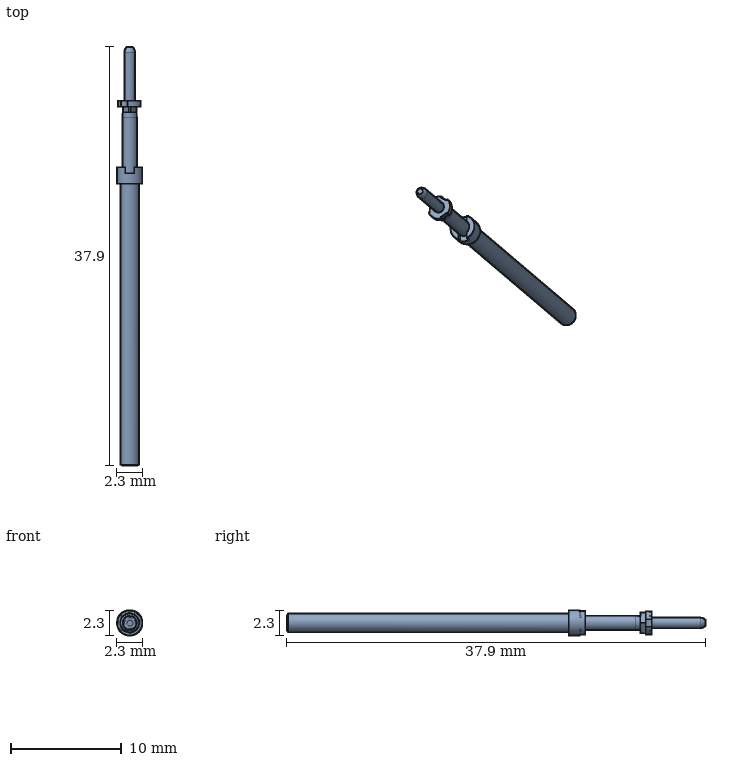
import cadquery as cq
import math

LENGTH = 37.9
TIP_Y = LENGTH / 2
TAIL_Y = -LENGTH / 2

PIN_RADIUS = 1.0 / 2
FLANGE_RADIUS = 2.12 / 2
NECK_RADIUS = 1.33 / 2
NECK_END_RADIUS = 1.3 / 2
COLLAR_RADIUS = 2.3 / 2
BODY_RADIUS = 1.7 / 2

PIN_LENGTH = 4.85
COLLAR_DISTANCE = 10.88
FLANGE_THICKNESS = 0.55
KEY_THICKNESS = 0.5
NECK_TAPER_LENGTH = 0.45
COLLAR_THICKNESS = 1.5
FLANGE_TOP_Y = TIP_Y - PIN_LENGTH
KEY_TOP_Y = FLANGE_TOP_Y - FLANGE_THICKNESS
TAPER_TOP_Y = KEY_TOP_Y - KEY_THICKNESS
NECK_TOP_Y = TAPER_TOP_Y - NECK_TAPER_LENGTH
COLLAR_TOP_Y = TIP_Y - COLLAR_DISTANCE
BODY_TOP_Y = COLLAR_TOP_Y - COLLAR_THICKNESS

NOSE_LENGTH = 0.5
NOSE_FLAT_RADIUS = 0.25
TAIL_CHAMFER_LENGTH = 0.1
TAIL_CHAMFER_DEPTH = 0.23

KEY_HALF_WIDTH = 1.25 / 2
KEY_FACE_ANGLE = 30.0
KEY_TRIM_RADIUS = 1.9 / 2
NOTCH_COUNT = 3
NOTCH_WIDTH = 0.7
NOTCH_FLOOR_DISTANCE = 0.9

SLOT_WIDTH = 0.85
SLOT_LENGTH = 0.53


def round_step(radius, low_y, high_y):
    """Cylinder on the Y axis between two stations."""
    return cq.Workplane("XZ", origin=(0, high_y, 0)).circle(radius).extrude(high_y - low_y)


def turned(outline):
    """Solid of revolution about the Y axis from a half outline of (radius, y) corners."""
    return cq.Workplane("XY").polyline(outline).close().revolve(360, (0, 0), (0, 1))


def contact_pin():
    """Pin with a rounded nose that ends in a small flat."""
    outline = (
        cq.Workplane("XY")
        .moveTo(0, FLANGE_TOP_Y)
        .lineTo(PIN_RADIUS, FLANGE_TOP_Y)
        .lineTo(PIN_RADIUS, TIP_Y - NOSE_LENGTH)
        .tangentArcPoint((NOSE_FLAT_RADIUS, TIP_Y), relative=False)
        .lineTo(0, TIP_Y)
        .close()
    )
    return outline.revolve(360, (0, 0), (0, 1))


def flange():
    """Disc with equally spaced notches in its rim, the first one facing +X."""
    disc = round_step(FLANGE_RADIUS, KEY_TOP_Y, FLANGE_TOP_Y)
    notch = (
        cq.Workplane("XY")
        .box(FLANGE_RADIUS, FLANGE_THICKNESS, NOTCH_WIDTH, centered=(False, False, True))
        .translate((NOTCH_FLOOR_DISTANCE, KEY_TOP_Y, 0))
    )
    for index in range(NOTCH_COUNT):
        disc = disc.cut(notch.rotate((0, 0, 0), (0, 1, 0), index * 360 / NOTCH_COUNT))
    return disc


def key():
    """Rhombic key under the flange, its long corners trimmed to a circle."""
    half_height = KEY_HALF_WIDTH / math.tan(math.radians(KEY_FACE_ANGLE))
    corners = [(KEY_HALF_WIDTH, 0), (0, half_height), (-KEY_HALF_WIDTH, 0), (0, -half_height)]
    profile = cq.Workplane("XZ", origin=(0, KEY_TOP_Y, 0)).polyline(corners).close()
    rhombus = profile.extrude(KEY_THICKNESS)
    return rhombus.intersect(round_step(KEY_TRIM_RADIUS, TAPER_TOP_Y, KEY_TOP_Y))


def neck():
    """Neck that narrows slightly just before the key."""
    outline = [
        (0, COLLAR_TOP_Y),
        (NECK_RADIUS, COLLAR_TOP_Y),
        (NECK_RADIUS, NECK_TOP_Y),
        (NECK_END_RADIUS, TAPER_TOP_Y),
        (0, TAPER_TOP_Y),
    ]
    return turned(outline)


def collar():
    """Collar with a slot above and below, open to the neck end and as deep as the neck surface."""
    ring = round_step(COLLAR_RADIUS, BODY_TOP_Y, COLLAR_TOP_Y)
    slot_bottom_y = COLLAR_TOP_Y - SLOT_LENGTH
    slots = (
        cq.Workplane("XZ", origin=(0, COLLAR_TOP_Y, 0))
        .rect(SLOT_WIDTH, 2 * COLLAR_RADIUS)
        .extrude(SLOT_LENGTH)
        .cut(round_step(NECK_RADIUS, slot_bottom_y, COLLAR_TOP_Y))
    )
    return ring.cut(slots)


def body():
    """Long barrel with a chamfered tail end."""
    outline = [
        (0, BODY_TOP_Y),
        (BODY_RADIUS, BODY_TOP_Y),
        (BODY_RADIUS, TAIL_Y + TAIL_CHAMFER_LENGTH),
        (BODY_RADIUS - TAIL_CHAMFER_DEPTH, TAIL_Y),
        (0, TAIL_Y),
    ]
    return turned(outline)


result = contact_pin().union(flange()).union(key()).union(neck()).union(collar()).union(body())